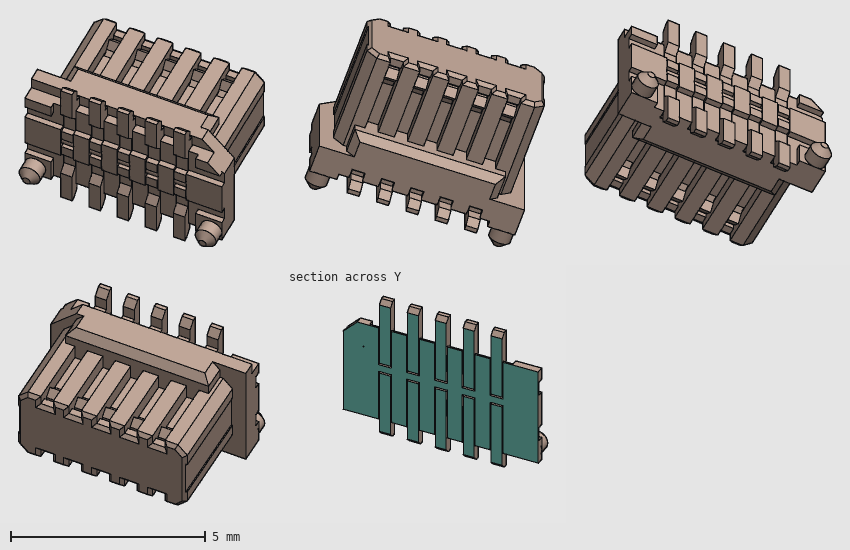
import cadquery as cq

CONTACT_COUNT = 5
PITCH = 0.8
CONTACT_WIDTH = 0.325
SLOT_WIDTH = 0.36
contact_x = [PITCH * (i - (CONTACT_COUNT - 1) / 2) for i in range(CONTACT_COUNT)]

PLATE_LENGTH = 5.6
PLATE_HEIGHT = 3.2
PLATE_THICKNESS = 0.76
KEY_CHAMFER = 0.745
STEP_DEPTH = 0.4
STEP_HEIGHT = 0.34
RELIEF_DEPTH = 0.155
PAD_LENGTH = 0.745
PAD_INNER_Z = 0.91
BAND_HEIGHT = 1.015
half_length = PLATE_LENGTH / 2
half_height = PLATE_HEIGHT / 2
step_z = half_height - STEP_HEIGHT
pad_inner_x = half_length - PAD_LENGTH

BLOCK_DEPTH = 0.655
BLOCK_CHAMFER = 0.21
block_end = PLATE_THICKNESS + BLOCK_DEPTH

BODY_LENGTH = 4.84
BODY_HEIGHT = 2.24
BODY_CORNER = 0.27
BODY_END_Y = 3.505
END_CHAMFER = 0.1
SIDE_INSET = 0.035
SLOT_LIP_Z = 0.85
SLOT_FLOOR_Z = 0.7
SLOT_LIP_Y = 3.21

PEG_RADIUS = 0.295
PEG_TIP_RADIUS = 0.105
PEG_LENGTH = 0.545
peg_cone = PEG_RADIUS - PEG_TIP_RADIUS

TAIL_Z = 2.1
TAIL_FRONT_Y = -0.04
TAIL_BACK_Y = 0.27
TAIL_CHAMFER = 0.19
LEG_TOP_Z = 1.56
TAIL_FOOT_Z = 1.16
HEEL_Z = 0.945
KNEE_FRONT_Y = 0
KNEE_TOP_Z = 0.455
KNEE_BOTTOM_Z = 0.145

TIP_REAR_Y = 2.6
TIP_KNEE_Y = 2.755
TIP_KNEE_Z = 0.785
TIP_PEAK_Y = 2.91
TIP_PEAK_Z = 1.01
TIP_FRONT_Y = 3.12
TIP_FRONT_Z = 0.82

RAIL_RADIUS = 0.11
RAIL_CENTRE_Y = 0.14


def box(x_range, y_range, z_range):
    """Box between the given pairs of limits."""
    x0, x1 = x_range
    y0, y1 = y_range
    z0, z1 = z_range
    block = cq.Workplane("XY").box(x1 - x0, y1 - y0, z1 - z0, centered=False)
    return block.translate((x0, y0, z0))


def both_rows(shape):
    """The shape together with its mirror image in the other contact row."""
    return shape.union(shape.mirror("XY"))


def prism_x(points, width, x):
    """Extrude a (y, z) outline along X, centred on x."""
    prism = cq.Workplane("YZ").polyline(points).close().extrude(width)
    return prism.translate((x - width / 2, 0, 0))


def make_plate():
    full_x = (-half_length, half_length)
    plate = box(full_x, (0, PLATE_THICKNESS), (-half_height, half_height))
    plate = plate.edges(">X and >Z").chamfer(KEY_CHAMFER)
    plate = plate.cut(box(full_x, (0, STEP_DEPTH), (step_z, half_height)))
    relief_y = (0, RELIEF_DEPTH)
    relief = box(full_x, relief_y, (BAND_HEIGHT / 2, PAD_INNER_Z)).union(
        box((-pad_inner_x, pad_inner_x), relief_y, (PAD_INNER_Z, half_height))
    )
    plate = plate.cut(both_rows(relief))
    for x in contact_x:
        slot_x = (x - SLOT_WIDTH / 2, x + SLOT_WIDTH / 2)
        plate = plate.cut(box(slot_x, (0, STEP_DEPTH), (-half_height, step_z)))
    return plate


def make_block():
    block = box((-pad_inner_x, pad_inner_x), (PLATE_THICKNESS, block_end), (-half_height, half_height))
    return block.faces("|Z").edges("not <Y").chamfer(BLOCK_CHAMFER)


def make_body():
    body_depth = BODY_END_Y - PLATE_THICKNESS
    body_x = BODY_LENGTH / 2
    body_z = BODY_HEIGHT / 2
    body = box((-body_x, body_x), (PLATE_THICKNESS, BODY_END_Y), (-body_z, body_z))
    body = body.edges("|Y").chamfer(BODY_CORNER)
    slot_spans = [(x - SLOT_WIDTH / 2, x + SLOT_WIDTH / 2) for x in contact_x]
    for span in slot_spans:
        body = body.cut(both_rows(box(span, (PLATE_THICKNESS, BODY_END_Y), (SLOT_LIP_Z, body_z))))
    body = body.faces(">Y").chamfer(END_CHAMFER)
    for span in slot_spans:
        body = body.cut(both_rows(box(span, (block_end, SLOT_LIP_Y), (SLOT_FLOOR_Z, body_z))))
    for side in (-1, 1):
        band = cq.Workplane("XY").box(2 * SIDE_INSET, body_depth, BAND_HEIGHT)
        body = body.cut(band.translate((side * body_x, PLATE_THICKNESS + body_depth / 2, 0)))
    return body


def make_peg(x):
    outline = [
        (0, 0),
        (PEG_RADIUS, 0),
        (PEG_RADIUS, peg_cone - PEG_LENGTH),
        (PEG_TIP_RADIUS, -PEG_LENGTH),
        (0, -PEG_LENGTH),
    ]
    peg = cq.Workplane("XY").polyline(outline).close().revolve(360, (0, 0, 0), (0, 1, 0))
    return peg.translate((x, 0, PEG_RADIUS - half_height))


def make_terminal(x):
    outline = [
        (TAIL_FRONT_Y, TAIL_Z),
        (TAIL_BACK_Y - TAIL_CHAMFER, TAIL_Z),
        (TAIL_BACK_Y, TAIL_Z - TAIL_CHAMFER),
        (TAIL_BACK_Y, LEG_TOP_Z),
        (STEP_DEPTH, LEG_TOP_Z),
        (STEP_DEPTH, KNEE_BOTTOM_Z),
        (KNEE_FRONT_Y, KNEE_BOTTOM_Z),
        (KNEE_FRONT_Y, KNEE_TOP_Z),
        (RELIEF_DEPTH, KNEE_TOP_Z),
        (RELIEF_DEPTH, HEEL_Z),
        (TAIL_FRONT_Y, TAIL_FOOT_Z),
    ]
    return both_rows(prism_x(outline, CONTACT_WIDTH, x))


def make_contact_tip(x):
    """Pointed contact standing on the floor of a body slot."""
    outline = [
        (TIP_REAR_Y, SLOT_FLOOR_Z),
        (TIP_KNEE_Y, TIP_KNEE_Z),
        (TIP_PEAK_Y, TIP_PEAK_Z),
        (TIP_FRONT_Y, TIP_FRONT_Z),
        (TIP_FRONT_Y, SLOT_FLOOR_Z),
    ]
    return both_rows(prism_x(outline, CONTACT_WIDTH, x))


def make_rail():
    """Rail along the contact row, rounded at the front and flat-sided behind."""
    rail_length = contact_x[-1] - contact_x[0] + SLOT_WIDTH
    rail = (
        cq.Workplane("YZ")
        .moveTo(STEP_DEPTH, -RAIL_RADIUS)
        .lineTo(RAIL_CENTRE_Y, -RAIL_RADIUS)
        .threePointArc((RAIL_CENTRE_Y - RAIL_RADIUS, 0), (RAIL_CENTRE_Y, RAIL_RADIUS))
        .lineTo(STEP_DEPTH, RAIL_RADIUS)
        .close()
        .extrude(rail_length)
    )
    return rail.translate((-rail_length / 2, 0, 0))


result = make_plate().union(make_block()).union(make_body()).union(make_rail())
for x in contact_x:
    result = result.union(make_terminal(x)).union(make_contact_tip(x))
for side in (-1, 1):
    result = result.union(make_peg(side * (half_length - PEG_RADIUS)))